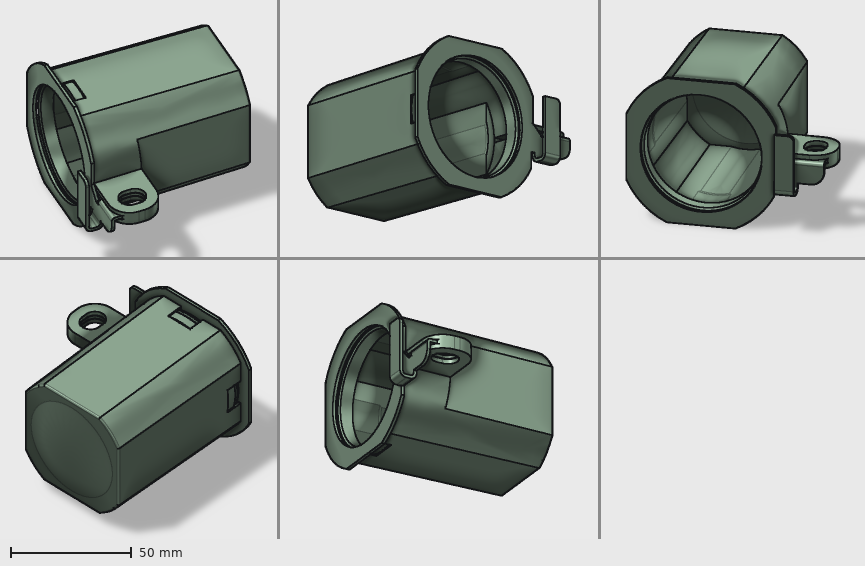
import cadquery as cq
import math


OVERALL_LENGTH = 87.5
PLATE_WIDTH = 64.0

CUP_LENGTH = 73.85
FRONT_HALF_WIDTH = 27.4
REAR_HALF_WIDTH = 26.3
FRONT_CORNER_RADIUS = 31.7
DRAFT = FRONT_HALF_WIDTH - REAR_HALF_WIDTH
WALL = 1.5
REAR_ROUNDING = 0.9
DOME_RADIUS = 22.8
DOME_HEIGHT = 2.2

ROOT_HALF_HEIGHT = 17.5
EAR_DEPTH = 21.9
EAR_THICKNESS = 6.2
EAR_END_RADIUS = 9.6
EAR_CENTRE_X = OVERALL_LENGTH - PLATE_WIDTH / 2 - EAR_END_RADIUS
EYE_WIDTH = 9.3
EYE_STRAIGHT = EAR_DEPTH - 2 * EAR_END_RADIUS
SLOT_THICKNESS = 2.0
SLOT_END_X = 53.0
SLOT_DEPTH = 20.1
SLOT_CORNER_RADIUS = 7.0

WINDOW_WIDTH = 12.25
WINDOW_DEPTH = 8.0

CHANNEL_WIDTH = 14.0
REAR_CHANNEL_WIDTH = 12.25
CHANNEL_STEP_Y = 20.65
CHANNEL_STEP_LENGTH = 0.9

RING_FRONT_Y = 1.1
RING_REAR_Y = 7.5
RING_BORE_RADIUS = 50.4 / 2
RING_RADIUS = 53.5 / 2
RIDGE_RADIUS = 54.8 / 2
RIDGE_RAMP_Y = 2.7
RIDGE_RAMP_LENGTH = 0.7
RING_MOUTH_RADIUS = 26.25
RING_MOUTH_LENGTH = 0.6

SHEET = 1.5
PLATE_CORNER_RADIUS = 35.2
PLATE_HOLE_DIAMETER = 52.0
PLATE_STEP_X = 31.1
NECK_TOP_Z = -1.9
NECK_BOTTOM_Z = -9.4
NECK_CORNER_RADIUS = 0.5

TAB_START_X = 39.3
TAB_END_X = 52.5
TAB_DEPTH = 19.25
TAB_CORNER_RADIUS = 5.5
TAB_BEND_RADIUS = 1.75

HOOK_START_X = 33.0
HOOK_WIDTH = 8.2
HOOK_FRONT_Y = -8.05
HOOK_BOTTOM_Z = -13.6
HOOK_TOP_Z = 13.65
HOOK_BEND_RADIUS = 3.0
HOOK_CORNER_RADIUS = 2.45


def box_between(x_range, y_range, z_range):
    """Box spanning the given (low, high) ranges."""
    sizes = [high - low for low, high in (x_range, y_range, z_range)]
    corner = (x_range[0], y_range[0], z_range[0])
    return cq.Workplane("XY").box(*sizes, centered=False).translate(corner)


def section_at(y):
    """Workplane across the cup axis: local x is X, local y is Z; negative extrusions go to +Y."""
    return cq.Workplane("XZ", origin=(0, y, 0))


def tapered_cup(inset, length, root_depth):
    """Drafted square with coned corners; near the mouth the +X flat gives way to the full cone."""
    front_half = FRONT_HALF_WIDTH - inset
    draft = DRAFT * length / CUP_LENGTH
    front_radius = FRONT_CORNER_RADIUS - inset
    square = (
        section_at(0).rect(2 * front_half, 2 * front_half)
        .workplane(offset=-length).rect(2 * (front_half - draft), 2 * (front_half - draft))
        .loft(ruled=True)
    )
    cone = (
        section_at(0).circle(front_radius)
        .workplane(offset=-length).circle(front_radius - draft)
        .loft(ruled=True)
    )
    root = box_between((0, front_radius), (0, root_depth), (-ROOT_HALF_HEIGHT, ROOT_HALF_HEIGHT))
    return cone.intersect(square.union(root))


def dome(base_y):
    """Spherical cap bulging to +Y from a flat base."""
    sphere_radius = (DOME_RADIUS**2 + DOME_HEIGHT**2) / (2 * DOME_HEIGHT)
    return (
        cq.Workplane("XY")
        .moveTo(0, base_y)
        .lineTo(DOME_RADIUS, base_y)
        .radiusArc((0, base_y + DOME_HEIGHT), -sphere_radius)
        .close()
        .revolve(360, (0, 0, 0), (0, 1, 0))
    )


def eye_hole():
    """Obround hole through ear and tab, long along Y."""
    return (
        cq.Workplane("XY", origin=(EAR_CENTRE_X, EAR_DEPTH / 2, 0))
        .slot2D(EYE_WIDTH + EYE_STRAIGHT, EYE_WIDTH, 90)
        .extrude(EAR_THICKNESS, both=True)
    )


def ear():
    ear_end_x = EAR_CENTRE_X + EAR_END_RADIUS
    half = EAR_THICKNESS / 2
    return (
        box_between((FRONT_HALF_WIDTH, ear_end_x), (0, EAR_DEPTH), (-half, half))
        .edges("|Z and >X")
        .fillet(EAR_END_RADIUS)
    )


def ear_slot():
    """Slot for the tab, open to the mouth of the cup and to its cavity."""
    half = SLOT_THICKNESS / 2
    return (
        box_between((FRONT_HALF_WIDTH, SLOT_END_X), (0, SLOT_DEPTH), (-half, half))
        .edges("|Z and >X and >Y")
        .fillet(SLOT_CORNER_RADIUS)
    )


def snap_windows():
    """Openings in the three flats without an ear."""
    half = WINDOW_WIDTH / 2
    reach = FRONT_CORNER_RADIUS
    upright = box_between((-half, half), (0, WINDOW_DEPTH), (-reach, reach))
    left = box_between((-reach, 0), (0, WINDOW_DEPTH), (-half, half))
    return upright.union(left)


def ring_envelope():
    """Outer shape of the snap ring without its bore: a ramp rises to the ridge."""
    return (
        cq.Workplane("XY")
        .moveTo(0, RING_FRONT_Y)
        .lineTo(RING_RADIUS, RING_FRONT_Y)
        .lineTo(RING_RADIUS, RIDGE_RAMP_Y)
        .lineTo(RIDGE_RADIUS, RIDGE_RAMP_Y + RIDGE_RAMP_LENGTH)
        .lineTo(RIDGE_RADIUS, RING_REAR_Y)
        .lineTo(0, RING_REAR_Y)
        .close()
        .revolve(360, (0, 0, 0), (0, 1, 0))
    )


def channel_radius(width, y):
    """Radius, at a place along the axis, that cuts a channel of this width into the inner flats."""
    half_flat_gap = FRONT_HALF_WIDTH - WALL - DRAFT * y / CUP_LENGTH
    return math.hypot(half_flat_gap, width / 2)


def flat_channels(end_y):
    """Slender cone that grazes the four inner flats, with one step to a narrower channel."""
    step_end_y = CHANNEL_STEP_Y + CHANNEL_STEP_LENGTH
    return (
        cq.Workplane("XY")
        .lineTo(channel_radius(CHANNEL_WIDTH, 0), 0)
        .lineTo(channel_radius(CHANNEL_WIDTH, CHANNEL_STEP_Y), CHANNEL_STEP_Y)
        .lineTo(channel_radius(REAR_CHANNEL_WIDTH, step_end_y), step_end_y)
        .lineTo(channel_radius(REAR_CHANNEL_WIDTH, end_y), end_y)
        .lineTo(0, end_y)
        .close()
        .revolve(360, (0, 0, 0), (0, 1, 0))
    )


def make_cup():
    outside = tapered_cup(0, CUP_LENGTH, EAR_DEPTH).faces(">Y").edges().fillet(REAR_ROUNDING)
    floor_y = CUP_LENGTH - WALL
    cavity = tapered_cup(WALL, floor_y, EAR_DEPTH - WALL).union(dome(floor_y))
    return (
        outside.union(dome(CUP_LENGTH))
        .union(ear())
        .cut(cavity)
        .cut(flat_channels(floor_y))
        .cut(ear_slot())
        .cut(eye_hole())
        .cut(snap_windows())
        .cut(ring_envelope())
    )


def make_ring():
    bore = (
        cq.Workplane("XY")
        .moveTo(0, RING_FRONT_Y)
        .lineTo(RING_MOUTH_RADIUS, RING_FRONT_Y)
        .lineTo(RING_BORE_RADIUS, RING_FRONT_Y + RING_MOUTH_LENGTH)
        .lineTo(RING_BORE_RADIUS, RING_REAR_Y)
        .lineTo(0, RING_REAR_Y)
        .close()
        .revolve(360, (0, 0, 0), (0, 1, 0))
    )
    return ring_envelope().cut(bore)


def flange():
    """Flat of the plate: round corners cut by a square, with a large hole."""
    half = PLATE_WIDTH / 2
    below_neck = box_between((PLATE_STEP_X, half), (-SHEET, 0), (-half, NECK_BOTTOM_Z))
    return (
        section_at(0).circle(PLATE_CORNER_RADIUS).extrude(SHEET)
        .intersect(box_between((-half, half), (-SHEET, 0), (-half, half)))
        .cut(below_neck)
        .cut(section_at(0).circle(PLATE_HOLE_DIAMETER / 2).extrude(SHEET))
    )


def neck():
    """Strip joining flange, hook and tab, with a slanted upper corner at the flange."""
    flange_edge = PLATE_WIDTH / 2
    slant_top = EAR_THICKNESS / 2
    return (
        section_at(0)
        .moveTo(PLATE_STEP_X, NECK_BOTTOM_Z)
        .lineTo(TAB_START_X, NECK_BOTTOM_Z)
        .lineTo(TAB_START_X, NECK_TOP_Z)
        .lineTo(flange_edge + slant_top - NECK_TOP_Z, NECK_TOP_Z)
        .lineTo(flange_edge, slant_top)
        .lineTo(PLATE_STEP_X, slant_top)
        .close()
        .extrude(SHEET)
    )


def tab():
    """L-shaped tab: up along the plate plane, then bent to +Y at mid thickness of the ear."""
    half = SHEET / 2
    length = TAB_END_X - TAB_START_X
    profile = (
        cq.Workplane("YZ", origin=(TAB_START_X, 0, 0))
        .moveTo(-SHEET, NECK_BOTTOM_Z)
        .lineTo(-SHEET, half - TAB_BEND_RADIUS)
        .radiusArc((TAB_BEND_RADIUS - SHEET, half), TAB_BEND_RADIUS)
        .lineTo(TAB_DEPTH, half)
        .lineTo(TAB_DEPTH, -half)
        .lineTo(TAB_BEND_RADIUS - SHEET, -half)
        .radiusArc((0, half - TAB_BEND_RADIUS), SHEET - TAB_BEND_RADIUS)
        .lineTo(0, NECK_BOTTOM_Z)
        .close()
        .extrude(length)
    )
    return (
        profile.edges("|Y and >X and <Z").fillet(TAB_CORNER_RADIUS)
        .edges("|Z and >X and >Y").fillet(SLOT_CORNER_RADIUS)
        .cut(eye_hole())
    )


def hook():
    """J-shaped strip: down from the neck, forward to -Y and up again."""
    square_hook = (
        cq.Workplane("YZ", origin=(HOOK_START_X, 0, 0))
        .moveTo(0, NECK_BOTTOM_Z)
        .lineTo(0, HOOK_BOTTOM_Z)
        .lineTo(HOOK_FRONT_Y, HOOK_BOTTOM_Z)
        .lineTo(HOOK_FRONT_Y, HOOK_TOP_Z)
        .lineTo(HOOK_FRONT_Y + SHEET, HOOK_TOP_Z)
        .lineTo(HOOK_FRONT_Y + SHEET, HOOK_BOTTOM_Z + SHEET)
        .lineTo(-SHEET, HOOK_BOTTOM_Z + SHEET)
        .lineTo(-SHEET, NECK_BOTTOM_Z)
        .close()
        .extrude(HOOK_WIDTH)
    )
    outer_bends = square_hook.edges("|X and <Z").fillet(HOOK_BEND_RADIUS)
    inner_bends = cq.selectors.BoxSelector(
        (HOOK_START_X, HOOK_FRONT_Y, HOOK_BOTTOM_Z + SHEET / 2),
        (HOOK_START_X + HOOK_WIDTH, 0, HOOK_BOTTOM_Z + 2 * SHEET),
    )
    return (
        outer_bends.edges("|X").edges(inner_bends).fillet(HOOK_BEND_RADIUS - SHEET)
        .edges("|Y and >X and >Z").fillet(HOOK_CORNER_RADIUS)
    )


def flange_with_neck():
    """Flange and neck joined, with the inner corner below the neck rounded."""
    inner_corner = cq.selectors.NearestToPointSelector((PLATE_STEP_X, -SHEET / 2, NECK_BOTTOM_Z))
    return flange().union(neck()).edges("|Y").edges(inner_corner).fillet(NECK_CORNER_RADIUS)


def make_plate():
    return flange_with_neck().union(tab()).union(hook())


cup = make_cup()
snap_ring = make_ring()
plate = make_plate()

result = cq.Compound.makeCompound([cup.val(), snap_ring.val(), plate.val()])